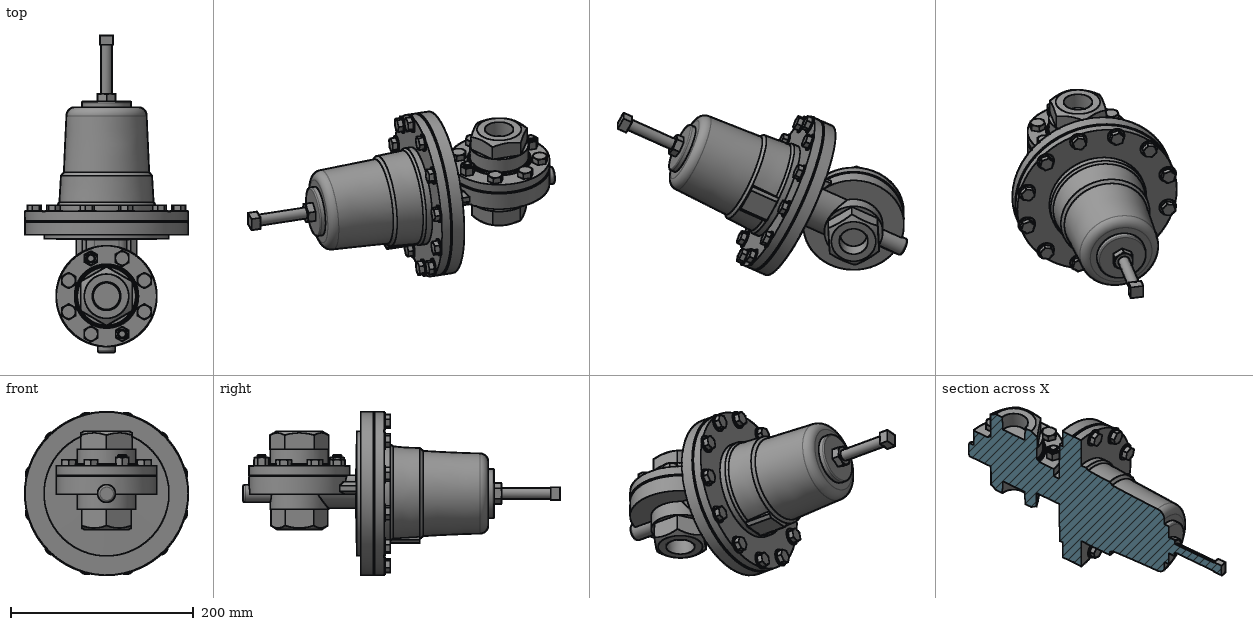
import cadquery as cq
import math


cos_45 = math.sqrt(0.5)

total_length = 347.3
head_length = 10.5
cap_height = 6.3
dome_height = 9.7
shoulder_height = 3.5
raised_disc_height = 4.0
cone_height = 1.5
plug_end_y = -61.8
tip_y = plug_end_y + total_length
head_y = tip_y - head_length
cap_y = 213.3
dome_y = cap_y - cap_height
wall_y = dome_y - dome_height
shoulder_y = 135.5
taper_y = shoulder_y - shoulder_height
flare_y = 102.8
foot_y = 99.7
flange_y = 92.7
joint_y = 81.5
flange_end_y = 67.0
disc_end_y = flange_end_y - raised_disc_height
cone_tip_y = disc_end_y - cone_height

head_side = 14.2
screw_radius = 6.3
locknut_flats = 20.0
locknut_height = 8.5

cap_radius = 27.0
cap_rounding = 1.5
dome_corner_radius = 9.5
wall_radius = 44.0
shoulder_radius = 47.0
taper_radius = 50.0
flare_radius = 51.8
foot_radius = 54.0
pad_width = 32.0
pad_depth = 54.2
pad_chamfer = 3.5

flange_radius = 89.5
joint_width = 1.5
joint_depth = 0.7
raised_disc_radius = 68.5
flange_bolts = 12
flange_bolt_circle = 82.0
washer_radius = 9.5
washer_thickness = 1.0

flange_bolt_flats = 13.5
valve_bolt_flats = 15.0
bolt_height = 7.0
nut_flats = 14.0
nut_height = 9.5
head_chamfer = 0.7
stud_radius = 5.0
stud_height = 12.0
stud_chamfer = 1.0

body_radius = 55.2
body_bottom_z = -0.7
gasket_z = 19.5
cover_top_z = 30.2
collar_z = 48.5
inlet_top_z = 68.5
lower_collar_z = -17.5
outlet_bottom_z = -39.5
collar_radius = 32.0
base_ring_radius = 35.0
base_ring_height = 2.5
base_ring_chamfer = 1.5
inlet_flats = 56.0
outlet_flats = 54.2
port_face_radius = 24.3
hex_chamfer_height = 4.5
bore_mouth_radius = 15.5
bore_floor_radius = 14.5
bore_depth = 17.0
valve_bolts = 8
valve_bolt_circle = 44.8
stud_positions = (2, 6)

neck_half_width = 33.5
wing_bottom_z = 2.5
wing_edge_z = 8.7
ledge_z = 13.0
ledge_half_width = 26.7
hump_half_width = 22.2
hump_flat_half_width = 13.2
hump_z = 20.0
belly_half_width = 24.5
belly_top_z = -0.7
belly_bottom_z = -16.3

plug_radius = 9.7
plug_rounding = 2.5


def hexagon(flats, height):
    """Hexagonal prism along +Z from the origin with its flats facing +X and -X."""
    corner_diameter = flats / math.cos(math.pi / 6)
    return cq.Workplane("XY").polygon(6, corner_diameter).extrude(height).rotate((0, 0, 0), (0, 0, 1), 30)


def chamfered_hexagon(flats, height, face_radius, chamfer_height):
    """Hexagonal prism whose top corners are turned down to a round face."""
    corner_radius = flats / 2 / math.cos(math.pi / 6)
    turned = (
        cq.Workplane("XZ")
        .polyline([
            (0, 0),
            (corner_radius, 0),
            (corner_radius, height - chamfer_height),
            (face_radius, height),
            (0, height),
        ])
        .close()
        .revolve(360, (0, 0), (0, 1))
    )
    return hexagon(flats, height).intersect(turned)


def cylinder(radius, bottom, top):
    return cq.Workplane("XY").workplane(offset=bottom).circle(radius).extrude(top - bottom)


def along_y(shape, y):
    """Turn a shape built along +Z to point along +Y, starting at y."""
    return shape.rotate((0, 0, 0), (1, 0, 0), -90).translate((0, y, 0))


def bonnet_and_flange():
    """Turned outline from the bonnet cap down to the shallow cone on the valve side."""
    joint_top = joint_y + joint_width / 2
    joint_bottom = joint_y - joint_width / 2
    joint_radius = flange_radius - joint_depth
    dome_inner_radius = wall_radius - dome_corner_radius
    dome_mid = (
        dome_inner_radius + dome_corner_radius * cos_45,
        wall_y + (dome_y - wall_y) * cos_45,
    )
    return (
        cq.Workplane("XY")
        .moveTo(0, cap_y)
        .lineTo(cap_radius - cap_rounding, cap_y)
        .radiusArc((cap_radius, cap_y - cap_rounding), cap_rounding)
        .lineTo(cap_radius, dome_y)
        .lineTo(dome_inner_radius, dome_y)
        .threePointArc(dome_mid, (wall_radius, wall_y))
        .lineTo(shoulder_radius, shoulder_y)
        .lineTo(taper_radius, taper_y)
        .lineTo(flare_radius, flare_y)
        .lineTo(foot_radius, foot_y)
        .lineTo(foot_radius, flange_y)
        .lineTo(flange_radius, flange_y)
        .lineTo(flange_radius, joint_top)
        .lineTo(joint_radius, joint_top)
        .lineTo(joint_radius, joint_bottom)
        .lineTo(flange_radius, joint_bottom)
        .lineTo(flange_radius, flange_end_y)
        .lineTo(raised_disc_radius, flange_end_y)
        .lineTo(raised_disc_radius, disc_end_y)
        .lineTo(0, cone_tip_y)
        .close()
        .revolve(360, (0, 0), (0, 1))
    )


def bonnet_pad():
    """Flat pad under the bonnet with bevelled long edges."""
    length = taper_y - foot_y
    return (
        cq.Workplane("XY")
        .box(pad_width, length, pad_depth, centered=(True, False, False))
        .translate((0, foot_y, -pad_depth))
        .faces("<Z").edges("|Y").chamfer(pad_chamfer)
    )


def adjusting_screw():
    shank = along_y(cylinder(screw_radius, 0, head_y - cap_y), cap_y)
    locknut = chamfered_hexagon(locknut_flats, locknut_height, locknut_flats / 2, head_chamfer)
    head = cq.Workplane("XY").rect(head_side, head_side).extrude(head_length)
    return shank.union(along_y(locknut, cap_y)).union(along_y(head, head_y))


def flange_bolt():
    """Bolt head on a washer, on the top of the main flange."""
    washer = cylinder(washer_radius, 0, washer_thickness)
    head = hexagon(flange_bolt_flats, bolt_height).rotate((0, 0, 0), (0, 0, 1), 30)
    return along_y(washer.union(head), flange_y)


def valve_bolt():
    return chamfered_hexagon(valve_bolt_flats, bolt_height, valve_bolt_flats / 2, head_chamfer)


def valve_stud():
    """Stud end standing out of its nut."""
    nut = chamfered_hexagon(nut_flats, nut_height, nut_flats / 2, head_chamfer)
    stud = cylinder(stud_radius, 0, stud_height).faces(">Z").chamfer(stud_chamfer)
    return nut.union(stud)


def valve_body():
    gasket_bottom = gasket_z - joint_width / 2
    gasket_top = gasket_z + joint_width / 2
    base_ring = cylinder(base_ring_radius, cover_top_z, cover_top_z + base_ring_height)
    base_ring = base_ring.faces(">Z").chamfer(base_ring_chamfer)
    inlet = chamfered_hexagon(inlet_flats, inlet_top_z - collar_z, port_face_radius, hex_chamfer_height)
    outlet = chamfered_hexagon(
        outlet_flats, lower_collar_z - outlet_bottom_z, port_face_radius, hex_chamfer_height
    ).rotate((0, 0, 0), (1, 0, 0), 180)
    return (
        cylinder(body_radius, body_bottom_z, gasket_bottom)
        .union(cylinder(body_radius - joint_depth, gasket_bottom, gasket_top))
        .union(cylinder(body_radius, gasket_top, cover_top_z))
        .union(base_ring)
        .union(cylinder(collar_radius, lower_collar_z, collar_z))
        .union(inlet.translate((0, 0, collar_z)))
        .union(outlet.translate((0, 0, lower_collar_z)))
    )


def neck():
    """Winged bar with a rounded hump above and a round belly below, from the flange to the valve axis."""
    hump_mid_x = hump_flat_half_width + (hump_half_width - hump_flat_half_width) * cos_45
    hump_mid_z = ledge_z + (hump_z - ledge_z) * cos_45
    return (
        cq.Workplane("XZ")
        .moveTo(-belly_half_width, belly_top_z)
        .threePointArc((0, belly_bottom_z), (belly_half_width, belly_top_z))
        .lineTo(neck_half_width, wing_bottom_z)
        .lineTo(neck_half_width, wing_edge_z)
        .lineTo(ledge_half_width, ledge_z)
        .lineTo(hump_half_width, ledge_z)
        .threePointArc((hump_mid_x, hump_mid_z), (hump_flat_half_width, hump_z))
        .lineTo(-hump_flat_half_width, hump_z)
        .threePointArc((-hump_mid_x, hump_mid_z), (-hump_half_width, ledge_z))
        .lineTo(-ledge_half_width, ledge_z)
        .lineTo(-neck_half_width, wing_edge_z)
        .lineTo(-neck_half_width, wing_bottom_z)
        .close()
        .extrude(-disc_end_y)
    )


def port_bore():
    """Blind bore, narrowing slightly downwards from a mouth at Z = 0."""
    return (
        cq.Workplane("XZ")
        .polyline([
            (0, 0),
            (bore_mouth_radius, 0),
            (bore_floor_radius, -bore_depth),
            (0, -bore_depth),
        ])
        .close()
        .revolve(360, (0, 0), (0, 1))
    )


def drain_plug():
    plug = cq.Workplane("XZ").circle(plug_radius).extrude(-plug_end_y)
    return plug.faces("<Y").edges().fillet(plug_rounding)


result = bonnet_and_flange().union(bonnet_pad()).union(adjusting_screw())
result = result.union(neck()).union(valve_body()).union(drain_plug())

for i in range(flange_bolts):
    angle = 360 / flange_bolts * (i + 0.5)
    bolt = flange_bolt().translate((flange_bolt_circle, 0, 0))
    result = result.union(bolt.rotate((0, 0, 0), (0, 1, 0), angle))

for i in range(valve_bolts):
    angle = 2 * math.pi / valve_bolts * (i + 0.5)
    fastener = valve_stud() if i in stud_positions else valve_bolt()
    x = valve_bolt_circle * math.cos(angle)
    y = valve_bolt_circle * math.sin(angle)
    result = result.union(fastener.translate((x, y, cover_top_z)))

result = result.cut(port_bore().translate((0, 0, inlet_top_z)))
result = result.cut(port_bore().mirror("XY").translate((0, 0, outlet_bottom_z)))